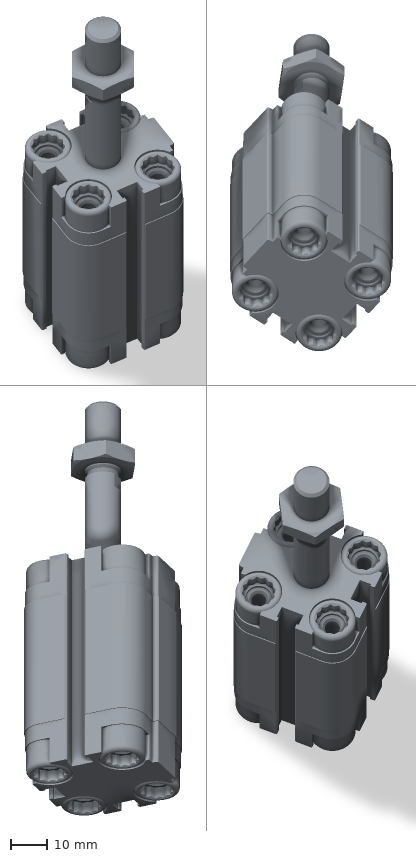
import cadquery as cq
import math


housing_height = 63.0
barrel_width = 36.0
barrel_height = 38.0
barrel_bottom = (housing_height - barrel_height) / 2
cap_inset = 0.2
corner_center = 11.0

rib_face = 19.6
rib_width = 11.7
rib_chamfer = 0.2
rib_flare = 0.2

slot_mouth_width = 5.4
slot_mouth_chamfer = 0.5
slot_width = 6.5
slot_floor = 13.0
slot_lip_back = 16.4

pocket_edge = 7.8
pocket_height = 7.7
head_diameter = 12.8
head_fillet = 1.1

socket_points = 12
socket_outer_diameter = 9.4
socket_inner_diameter = 8.5
socket_depth = 3.4
countersink_diameter = 10.0
countersink_depth = 0.5
recess_diameter = 7.2
recess_depth = 4.2
hole_diameter = 4.1
hole_mouth_diameter = 5.3
hole_mouth_depth = 0.8

total_height = 114.5
rod_diameter = 10.0
rod_seat_depth = barrel_bottom
rod_bottom = housing_height - rod_seat_depth
rod_shoulder = 92.7
neck_diameter = 8.7
neck_top = 94.3
neck_taper = (rod_diameter - neck_diameter) / 2
rod_tip_chamfer = 0.8
flat_spacing = 9.0
flat_height = 4.1

nut_bottom = 95.4
nut_height = 5.0
nut_across_flats = 17.0
nut_across_corners = nut_across_flats / math.cos(math.pi / 6)
nut_face_diameter = 17.0
nut_chamfer_height = 0.5


def turned(points):
    """Solid of revolution about Z from (radius, z) points."""
    return cq.Workplane("XZ").polyline(points).close().revolve(360, (0, 0, 0), (0, 1, 0))


def cylinder(diameter, bottom, height):
    return cq.Workplane("XY", origin=(0, 0, bottom)).circle(diameter / 2).extrude(height)


def ribbed_block(inset, bottom, height):
    """Rounded square block with the +Y rib, drawn in by `inset` all round."""
    half_width = barrel_width / 2 - inset
    block = (
        cq.Workplane("XY", origin=(0, 0, bottom))
        .rect(2 * half_width, 2 * half_width)
        .extrude(height)
        .edges("|Z")
        .fillet(half_width - corner_center)
    )
    face = rib_face - inset
    side = rib_width / 2 - inset
    right_half = [
        (side + rib_flare, 0),
        (side + rib_flare, half_width),
        (side, face - rib_chamfer),
        (side - rib_chamfer, face),
    ]
    left_half = [(-x, y) for x, y in reversed(right_half)]
    rib = (
        cq.Workplane("XY", origin=(0, 0, bottom))
        .polyline(right_half + left_half)
        .close()
        .extrude(height)
    )
    return block.union(rib)


def slot_cutter(angle):
    """Full-height T-slot with a chamfered mouth, turned by `angle` from the +X side."""
    face = barrel_width / 2
    half_mouth = slot_mouth_width / 2
    half_slot = slot_width / 2
    upper_half = [
        (slot_floor, half_slot),
        (slot_lip_back, half_slot),
        (slot_lip_back, half_mouth),
        (face - slot_mouth_chamfer, half_mouth),
        (face, half_mouth + slot_mouth_chamfer),
    ]
    lower_half = [(x, -y) for x, y in reversed(upper_half)]
    slot = cq.Workplane("XY").polyline(upper_half + lower_half).close().extrude(housing_height)
    return slot.rotate((0, 0, 0), (0, 0, 1), angle)


def drive_socket():
    """Countersunk twelve-point socket with a round recess and a tapered hole mouth, open at Z = 0."""
    points = []
    for index in range(2 * socket_points):
        angle = math.pi * index / socket_points
        diameter = socket_inner_diameter if index % 2 else socket_outer_diameter
        points.append((diameter / 2 * math.cos(angle), diameter / 2 * math.sin(angle)))
    star = cq.Workplane("XY").polyline(points).close().extrude(-socket_depth)
    mouth_bottom = -recess_depth - hole_mouth_depth
    round_part = turned([
        (0, 0),
        (countersink_diameter / 2, 0),
        (socket_inner_diameter / 2, -countersink_depth),
        (recess_diameter / 2, -countersink_depth),
        (recess_diameter / 2, -recess_depth),
        (hole_mouth_diameter / 2, -recess_depth),
        (hole_diameter / 2, mouth_bottom),
        (0, mouth_bottom),
    ])
    return star.union(round_part)


def corner_cutter():
    """Corner pocket around a screw head, with its socket; head axis at X = Y = 0, end face at Z = 0."""
    wall = pocket_edge - corner_center
    pocket = (
        cq.Workplane("XY", origin=(wall, wall, -pocket_height))
        .rect(barrel_width, barrel_width, centered=False)
        .extrude(pocket_height)
    )
    rim = cylinder(head_diameter, -head_fillet, head_fillet)
    head = cylinder(head_diameter, -pocket_height, pocket_height).faces(">Z").edges().fillet(head_fillet)
    return pocket.union(rim).cut(head).union(drive_socket())


def make_housing():
    housing = ribbed_block(cap_inset, 0, housing_height)
    housing = housing.union(ribbed_block(0, barrel_bottom, barrel_height))

    for angle in (0, 180, 270):
        housing = housing.cut(slot_cutter(angle))

    top_cutter = corner_cutter().translate((corner_center, corner_center, housing_height))
    middle = (0, 0, housing_height / 2)
    bottom_cutter = top_cutter.mirror("XY", middle)
    hole = cylinder(hole_diameter, 0, housing_height).translate((corner_center, corner_center, 0))
    for corner in range(4):
        for cutter in (top_cutter, bottom_cutter, hole):
            housing = housing.cut(cutter.rotate((0, 0, 0), (0, 0, 1), 90 * corner))

    return housing.cut(cylinder(rod_diameter, rod_bottom, rod_seat_depth))


def make_rod():
    radius = rod_diameter / 2
    neck_radius = neck_diameter / 2
    rod = turned([
        (0, rod_bottom),
        (radius, rod_bottom),
        (radius, rod_shoulder),
        (neck_radius, rod_shoulder),
        (neck_radius, neck_top),
        (radius, neck_top + neck_taper),
        (radius, total_height - rod_tip_chamfer),
        (radius - rod_tip_chamfer, total_height),
        (0, total_height),
    ])
    flats_bottom = rod_shoulder - flat_height
    between_flats = (
        cq.Workplane("XY", origin=(0, 0, flats_bottom))
        .rect(rod_diameter, flat_spacing)
        .extrude(flat_height)
    )
    return rod.cut(cylinder(rod_diameter, flats_bottom, flat_height).cut(between_flats))


def make_nut():
    nut_top = nut_bottom + nut_height
    hexagon = (
        cq.Workplane("XY", origin=(0, 0, nut_bottom))
        .polygon(6, nut_across_corners)
        .extrude(nut_height)
        .rotate((0, 0, 0), (0, 0, 1), 30)
    )
    chamfer_envelope = turned([
        (0, nut_bottom),
        (nut_face_diameter / 2, nut_bottom),
        (nut_across_corners / 2, nut_bottom + nut_chamfer_height),
        (nut_across_corners / 2, nut_top - nut_chamfer_height),
        (nut_face_diameter / 2, nut_top),
        (0, nut_top),
    ])
    return hexagon.intersect(chamfer_envelope).cut(cylinder(rod_diameter, nut_bottom, nut_height))


housing = make_housing()
rod = make_rod()
nut = make_nut()

result = cq.Compound.makeCompound([housing.val(), rod.val(), nut.val()])